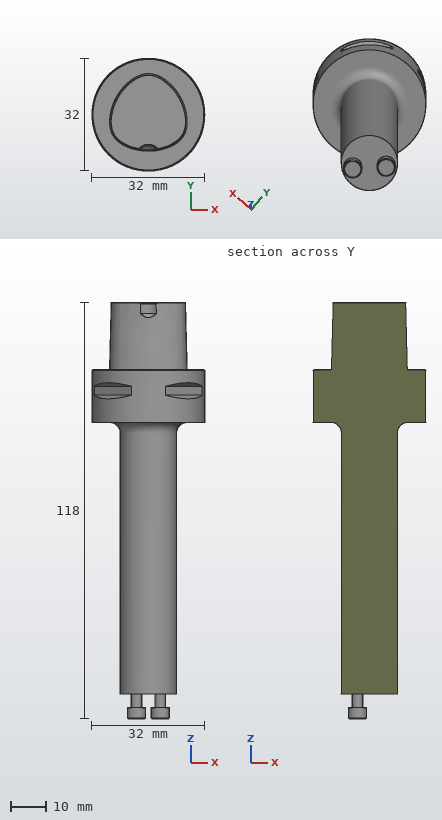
import cadquery as cq
import math

FLANGE_DIAMETER = 32.0
FLANGE_HEIGHT = 15.0
FLANGE_CHAMFER = 0.3

SHANK_LENGTH = 19.0
SHANK_MEAN_RADIUS = 11.0
SHANK_ECCENTRICITY = 0.65
SHANK_TAPER = 1 / 20
LOBE_COUNT = 3
FIRST_LOBE_ANGLE = 90.0
LOBE_HALF_SPAN = 23.0
CURVE_POINTS = 7

GROOVE_RADIUS = 3.0
GROOVE_DEPTH = 1.1
GROOVE_LENGTH = 3.1
GROOVE_MOUTH_CHAMFER = 0.4

SLOT_COUNT = 4
SLOT_FIRST_ANGLE = 45.0
SLOT_CENTRE_Z = -6.0
SLOT_FLOOR_DISTANCE = 14.2
SLOT_FLOOR_HEIGHT = 2.5
SLOT_FLANK_ANGLE = 30.0

SHAFT_DIAMETER = 16.0
SHAFT_LENGTH = 77.0
SHAFT_FILLET = 3.0

SCREW_DIAMETER = 3.0
SCREW_NECK_LENGTH = 3.8
SCREW_HEAD_DIAMETER = 5.2
SCREW_HEAD_HEIGHT = 3.2
SCREW_HEAD_CHAMFER = 0.3
SCREW_OFFSET = 3.36
SCREW_EMBED = 2.0

FLANGE_RADIUS = FLANGE_DIAMETER / 2
SHAFT_RADIUS = SHAFT_DIAMETER / 2
SHANK_TOP_RADIUS = SHANK_MEAN_RADIUS - SHANK_LENGTH * SHANK_TAPER / 2
SHAFT_END_Z = -FLANGE_HEIGHT - SHAFT_LENGTH


def profile_point(normal_angle, mean_radius, z):
    """Point of the polygon profile whose outward normal has the given angle in degrees."""
    normal = math.radians(normal_angle)
    phase = LOBE_COUNT * math.radians(normal_angle - FIRST_LOBE_ANGLE)
    support = mean_radius + SHANK_ECCENTRICITY * math.cos(phase)
    slope = -LOBE_COUNT * SHANK_ECCENTRICITY * math.sin(phase)
    x = support * math.cos(normal) - slope * math.sin(normal)
    y = support * math.sin(normal) + slope * math.cos(normal)
    return cq.Vector(x, y, z)


def profile_tangent(normal_angle):
    normal = math.radians(normal_angle)
    return cq.Vector(-math.sin(normal), math.cos(normal), 0)


def profile_curve(start, end, mean_radius, z):
    """Smooth piece of the profile between two normal angles."""
    step = (end - start) / (CURVE_POINTS - 1)
    points = [profile_point(start + i * step, mean_radius, z) for i in range(CURVE_POINTS)]
    return cq.Edge.makeSpline(points, tangents=[profile_tangent(start), profile_tangent(end)])


def profile_wire(mean_radius, z):
    """Closed polygon profile: a lobe and a flank, three times."""
    pitch = 360 / LOBE_COUNT
    edges = []
    for i in range(LOBE_COUNT):
        lobe = FIRST_LOBE_ANGLE + i * pitch
        lobe_start = lobe - LOBE_HALF_SPAN
        lobe_end = lobe + LOBE_HALF_SPAN
        edges.append(profile_curve(lobe_start, lobe_end, mean_radius, z))
        edges.append(profile_curve(lobe_end, lobe_start + pitch, mean_radius, z))
    return cq.Wire.assembleEdges(edges)


def make_shank():
    base = profile_wire(SHANK_MEAN_RADIUS, 0)
    top = profile_wire(SHANK_TOP_RADIUS, SHANK_LENGTH)
    return cq.Workplane(obj=cq.Solid.makeLoft([base, top], True))


def make_groove_cutter():
    """Drill-like cutter: cylinder with a 45 degree point and a flared mouth."""
    flank_y = -(SHANK_TOP_RADIUS - SHANK_ECCENTRICITY)
    axis_y = flank_y + GROOVE_DEPTH - GROOVE_RADIUS
    cone_z = SHANK_LENGTH - GROOVE_LENGTH
    mouth_radius = GROOVE_RADIUS + GROOVE_MOUTH_CHAMFER
    return (
        cq.Workplane("XZ")
        .moveTo(0, cone_z - GROOVE_RADIUS)
        .lineTo(GROOVE_RADIUS, cone_z)
        .lineTo(GROOVE_RADIUS, SHANK_LENGTH - GROOVE_MOUTH_CHAMFER)
        .lineTo(mouth_radius, SHANK_LENGTH)
        .lineTo(0, SHANK_LENGTH)
        .close()
        .revolve(360, (0, 0, 0), (0, 1, 0))
        .translate((0, axis_y, 0))
    )


def make_flange_and_shaft():
    """Turned body: chamfered flange, concave fillet and straight shaft."""
    fillet_centre_r = SHAFT_RADIUS + SHAFT_FILLET
    fillet_end_z = -FLANGE_HEIGHT - SHAFT_FILLET
    fillet_reach = SHAFT_FILLET * math.sqrt(0.5)
    fillet_middle = (fillet_centre_r - fillet_reach, fillet_end_z + fillet_reach)
    return (
        cq.Workplane("XZ")
        .lineTo(FLANGE_RADIUS - FLANGE_CHAMFER, 0)
        .lineTo(FLANGE_RADIUS, -FLANGE_CHAMFER)
        .lineTo(FLANGE_RADIUS, -FLANGE_HEIGHT)
        .lineTo(fillet_centre_r, -FLANGE_HEIGHT)
        .threePointArc(fillet_middle, (SHAFT_RADIUS, fillet_end_z))
        .lineTo(SHAFT_RADIUS, SHAFT_END_Z)
        .lineTo(0, SHAFT_END_Z)
        .close()
        .revolve(360, (0, 0, 0), (0, 1, 0))
    )


def make_slot_cutter(angle):
    """Straight trapezoidal groove across the flange rim, facing the given angle."""
    depth = FLANGE_RADIUS - SLOT_FLOOR_DISTANCE
    floor_half = SLOT_FLOOR_HEIGHT / 2
    mouth_half = floor_half + depth * math.tan(math.radians(SLOT_FLANK_ANGLE))
    return (
        cq.Workplane("XZ")
        .moveTo(SLOT_FLOOR_DISTANCE, SLOT_CENTRE_Z - floor_half)
        .lineTo(FLANGE_RADIUS, SLOT_CENTRE_Z - mouth_half)
        .lineTo(FLANGE_RADIUS, SLOT_CENTRE_Z + mouth_half)
        .lineTo(SLOT_FLOOR_DISTANCE, SLOT_CENTRE_Z + floor_half)
        .close()
        .extrude(FLANGE_RADIUS, both=True)
        .rotate((0, 0, 0), (0, 0, 1), angle)
    )


def make_screw(x, y):
    neck_end_z = SHAFT_END_Z - SCREW_NECK_LENGTH
    neck = (
        cq.Workplane("XY", origin=(x, y, neck_end_z))
        .circle(SCREW_DIAMETER / 2)
        .extrude(SCREW_NECK_LENGTH + SCREW_EMBED)
    )
    head = (
        cq.Workplane("XY", origin=(x, y, neck_end_z))
        .circle(SCREW_HEAD_DIAMETER / 2)
        .extrude(-SCREW_HEAD_HEIGHT)
        .faces("<Z")
        .chamfer(SCREW_HEAD_CHAMFER)
    )
    return neck.union(head)


body = make_flange_and_shaft()
for slot in range(SLOT_COUNT):
    body = body.cut(make_slot_cutter(SLOT_FIRST_ANGLE + slot * 360 / SLOT_COUNT))

shank = make_shank().cut(make_groove_cutter())
result = body.union(shank)
for side in (-1, 1):
    result = result.union(make_screw(side * SCREW_OFFSET, -side * SCREW_OFFSET))